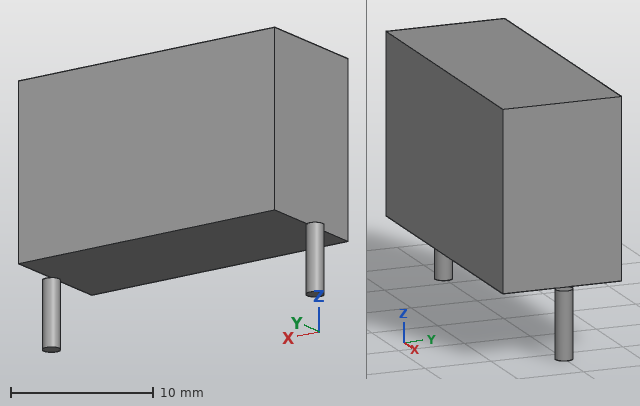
import cadquery as cq

housing_length = 21.99
housing_width = 9.0
housing_height = 13.48

lead_diameter = 1.3
lead_length = 5.11
overall_length = 23.9
lead_offset = (overall_length - lead_diameter) / 2


def make_housing():
    """Plain block resting on the plane Z = 0."""
    return cq.Workplane("XY").box(
        housing_length, housing_width, housing_height, centered=(True, True, False)
    )


def make_lead(x):
    """Round lead hanging from the plane Z = 0, centred at x."""
    return cq.Workplane("XY").center(x, 0).circle(lead_diameter / 2).extrude(-lead_length)


housing = make_housing()
leads = [make_lead(side * lead_offset) for side in (-1, 1)]

result = cq.Compound.makeCompound([housing.val(), *[lead.val() for lead in leads]])